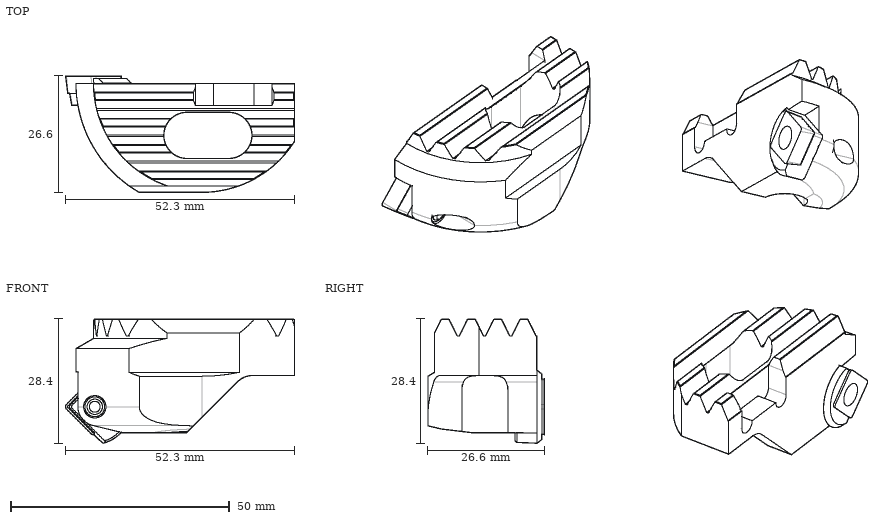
import cadquery as cq
import math


EPS = 0.01
FAR = 80.0

front_y = -24.93
upper_front_y = -23.42
nose_x = -21.26
nose_radius = 28.7
tail_center = (-21.2, 0.15)
tail_radius = tail_center[1] - front_y

rim_depth = 0.12
rim_inset = 0.2
collar_radius = 24.7
collar_z = -4.4
cone_z = -6.73
shoulder_z = -12.14
shoulder_edge_z = -13.05
foot_z = -12.88
bottom_z = -26.0
ramp_x = -24.7
ramp_blend = 5.0
nose_blend = 4.4
underside_angle = 14.0

facet_y = -14.6
facet_slope = 0.12

pitch = 6.0
first_root_y = 0.04
serration_depth = 3.82
crest_width = 1.9
root_width = 0.45
crest_break = 0.18
crest_break_depth = 0.12
tooth_count = 4

slot_center = (-19.8, -11.88)
slot_length = 20.1
slot_width = 10.5
pocket_center_x = -13.9
pocket_length = 17.5
pocket_depth_y = 5.0
pocket_floor_z = -8.6
trough_width = 4.1
pocket_flare = 0.45
pocket_flare_depth = 2.4

insert_side = 9.525
insert_thickness = 3.97
insert_corner = 0.8
relief_angle = 7.0
insert_top_y = 1.69
insert_base_y = insert_top_y - insert_thickness
axis_x = -45.94
axis_z = -20.02
relief = math.tan(math.radians(relief_angle))

seat_radius = 8.65
seat_top_y = 1.15
seat_base_y = -5.04
seat_chamfer = 1.1
seat_base_chamfer = 0.45
seat_flank = 4.05
seat_corner = 0.6
ceiling_z = -12.36
ceiling_rise = 0.3
clearance_reach = 2.6

screw_x = -45.65
seat_screw_diameter = 4.5
seat_screw_end_y = -9.64
seat_screw_head_diameter = 6.6
seat_screw_head_height = 1.2
screw_hole_diameter = 5.1
insert_screw_diameter = 3.5
insert_screw_tip_diameter = 2.5
insert_screw_tip_y = -10.4
insert_screw_cone = 0.6
insert_screw_head_diameter = 5.4
insert_screw_head_height = 2.0


def outline():
    """Plan outline of the holder on the XY plane."""
    nose_mid_bearing = 210
    tail_mid_bearing = -60
    nose_front = (nose_x - math.sqrt(nose_radius**2 - front_y**2), front_y)
    nose_mid_angle = math.radians(nose_mid_bearing)
    nose_mid = (nose_x + nose_radius * math.cos(nose_mid_angle), nose_radius * math.sin(nose_mid_angle))
    tail_end_y = tail_center[1] - math.sqrt(tail_radius**2 - tail_center[0]**2)
    tail_mid_angle = math.radians(tail_mid_bearing)
    tail_mid = (
        tail_center[0] + tail_radius * math.cos(tail_mid_angle),
        tail_center[1] + tail_radius * math.sin(tail_mid_angle),
    )
    return (
        cq.Workplane("XY")
        .moveTo(0, 0)
        .lineTo(nose_x - nose_radius, 0)
        .threePointArc(nose_mid, nose_front)
        .lineTo(tail_center[0], front_y)
        .threePointArc(tail_mid, (0, tail_end_y))
        .close()
    )


def nose_envelope():
    """Turned shape around the nose centre, joined to a plain box on the right."""
    slope = math.radians(underside_angle)
    turn = math.pi / 2 - slope
    blend_center = nose_radius - nose_blend
    blend_start_z = axis_z

    def blend_point(angle):
        return (blend_center + nose_blend * math.cos(angle), blend_start_z - nose_blend * math.sin(angle))

    blend_end = blend_point(turn)
    flat_radius = blend_end[0] - (blend_end[1] - bottom_z) / math.tan(slope)
    turned = (
        cq.Workplane("XZ")
        .moveTo(0, 0)
        .lineTo(collar_radius - rim_inset, 0)
        .lineTo(collar_radius, -rim_depth)
        .lineTo(collar_radius, collar_z)
        .lineTo(nose_radius, cone_z)
        .lineTo(nose_radius, blend_start_z)
        .threePointArc(blend_point(turn / 2), blend_end)
        .lineTo(flat_radius, bottom_z)
        .lineTo(0, bottom_z)
        .close()
        .revolve(360, (0, 0), (0, 1))
        .translate((nose_x, 0, 0))
    )
    right_box = cq.Workplane("XY").box(FAR, FAR, -bottom_z, centered=(False, True, False))
    return turned.union(right_box.translate((nose_x, 0, bottom_z)))


def side_profile():
    """Stepped side shape with the foot on the right and the 45 degree ramp."""
    ramp_top_x = ramp_x + foot_z - bottom_z
    return (
        cq.Workplane("XZ")
        .polyline([(-FAR, 0), (0, 0), (0, foot_z), (ramp_top_x, foot_z), (ramp_x, bottom_z), (-FAR, bottom_z)])
        .close()
        .extrude(FAR)
        .edges(cq.selectors.NearestToPointSelector((ramp_top_x, -FAR / 2, foot_z)))
        .fillet(ramp_blend)
    )


def along_x(points):
    """Prism over a YZ polygon that runs past both ends of the holder."""
    return cq.Workplane("YZ").polyline(points).close().extrude(2 * FAR).translate((-FAR, 0, 0))


def serration_valley(y):
    top = (pitch - crest_width) / 2
    half_widths = [
        (top + crest_break, EPS),
        (top + crest_break, 0),
        (top, -crest_break_depth),
        (root_width / 2, -serration_depth),
    ]
    right_side = [(y + w, z) for w, z in half_widths]
    left_side = [(y - w, z) for w, z in reversed(half_widths)]
    return along_x(right_side + left_side)


def front_shoulder():
    margin = 1.0
    return along_x([
        (upper_front_y, margin),
        (upper_front_y, shoulder_z),
        (front_y, shoulder_edge_z),
        (front_y - margin, shoulder_edge_z),
        (front_y - margin, margin),
    ])


def underside_facet():
    drop = facet_slope * (facet_y - front_y)
    return along_x([(facet_y, bottom_z), (front_y, bottom_z + drop), (front_y, bottom_z)])


def clamping_slot():
    return (
        cq.Workplane("XY", origin=(*slot_center, EPS))
        .slot2D(slot_length, slot_width)
        .extrude(-FAR)
    )


def spring_pocket():
    """Pocket in the first tooth: a flat floor between two round troughs."""
    half = pocket_length / 2
    flared = half + pocket_flare
    trough_radius = trough_width / 2
    floor_half = half - trough_width
    return (
        cq.Workplane("XZ", origin=(pocket_center_x, EPS, 0))
        .moveTo(-flared, 0)
        .lineTo(-half, -pocket_flare_depth)
        .lineTo(-half, pocket_floor_z)
        .threePointArc((-half + trough_radius, pocket_floor_z - trough_radius), (-floor_half, pocket_floor_z))
        .lineTo(floor_half, pocket_floor_z)
        .threePointArc((half - trough_radius, pocket_floor_z - trough_radius), (half, pocket_floor_z))
        .lineTo(half, -pocket_flare_depth)
        .lineTo(flared, 0)
        .close()
        .extrude(pocket_depth_y + EPS)
    )


def turned_along_y(x, points):
    """Solid of revolution about a Y axis through x and axis_z, from (radius, y) points."""
    return (
        cq.Workplane("XY")
        .polyline(points)
        .close()
        .revolve(360, (0, 0), (0, 1))
        .translate((x, 0, axis_z))
    )


def seat_clearance():
    """Space at the lower left back of the holder that leaves the seat flanks free."""
    left = -FAR - axis_x
    right = clearance_reach
    roof = ceiling_z - axis_z
    outer_roof = roof + ceiling_rise
    edge_x = nose_x - nose_radius - axis_x
    return (
        cq.Workplane("XZ", origin=(axis_x, EPS, axis_z))
        .polyline([(right, roof), (edge_x, outer_roof), (left, outer_roof), (left, -FAR), (right, -FAR)])
        .close()
        .extrude(EPS - seat_base_y)
    )


def seat_disc():
    return turned_along_y(axis_x, [
        (0, seat_top_y),
        (seat_radius - seat_chamfer, seat_top_y),
        (seat_radius, seat_top_y - seat_chamfer),
        (seat_radius, seat_base_y + seat_base_chamfer),
        (seat_radius - seat_base_chamfer, seat_base_y),
        (0, seat_base_y),
    ])


def seat_flanks():
    """Wedge with a rounded left corner whose two relieved flanks trim the disc."""
    height = seat_top_y - seat_base_y
    top_flank = seat_flank + relief * (seat_top_y - insert_base_y)
    size = 4 * seat_radius
    return (
        cq.Workplane("XZ")
        .center(size / 2 - top_flank, size / 2 - top_flank)
        .rect(size, size)
        .extrude(height, taper=relief_angle)
        .edges("<(1,0,1)")
        .fillet(seat_corner)
        .rotate((0, 0, 0), (0, 1, 0), 45)
        .translate((axis_x, seat_top_y, axis_z))
    )


def seat_blank():
    """Seat without the insert pocket and the screw hole."""
    return seat_disc().intersect(seat_flanks())


def seat_screw_blank():
    head_radius = seat_screw_head_diameter / 2
    radius = seat_screw_diameter / 2
    head_base_y = insert_base_y - seat_screw_head_height
    return turned_along_y(screw_x, [
        (0, insert_base_y),
        (head_radius, insert_base_y),
        (head_radius, head_base_y),
        (radius, head_base_y),
        (radius, seat_screw_end_y),
        (0, seat_screw_end_y),
    ])


def screw_hole():
    """Hole for the seat screw, widened by a short cone beyond the screw end."""
    radius = seat_screw_diameter / 2
    outer_radius = screw_hole_diameter / 2
    return turned_along_y(screw_x, [
        (0, seat_base_y + EPS),
        (radius, seat_base_y + EPS),
        (radius, seat_screw_end_y),
        (outer_radius, seat_screw_end_y - (outer_radius - radius)),
        (outer_radius, -FAR),
        (0, -FAR),
    ])


def make_insert_screw():
    radius = insert_screw_diameter / 2
    return turned_along_y(screw_x, [
        (0, insert_top_y),
        (insert_screw_head_diameter / 2, insert_top_y),
        (radius, insert_top_y - insert_screw_head_height),
        (radius, insert_screw_tip_y + insert_screw_cone),
        (insert_screw_tip_diameter / 2, insert_screw_tip_y),
        (0, insert_screw_tip_y),
    ])


def insert_blank():
    """Insert without its screw hole; all four flanks are relieved."""
    return (
        cq.Workplane("XZ")
        .sketch()
        .rect(insert_side, insert_side)
        .vertices()
        .fillet(insert_corner)
        .finalize()
        .extrude(insert_thickness, taper=relief_angle)
        .rotate((0, 0, 0), (0, 1, 0), 45)
        .translate((axis_x, insert_top_y, axis_z))
    )


def make_holder():
    body = outline().extrude(bottom_z + rim_depth).translate((0, 0, -rim_depth))
    rim = outline().extrude(rim_depth, taper=math.degrees(math.atan2(rim_inset, rim_depth)))
    body = body.union(rim.translate((0, 0, -rim_depth)))
    body = body.intersect(nose_envelope()).intersect(side_profile())
    for index in range(tooth_count):
        body = body.cut(serration_valley(first_root_y - index * pitch))
    front_flank = serration_valley(first_root_y - tooth_count * pitch)
    body = body.cut(front_flank).cut(front_shoulder()).cut(underside_facet())
    body = body.cut(clamping_slot()).cut(spring_pocket())
    return body.cut(seat_clearance()).cut(seat_blank()).cut(screw_hole())


def make_seat():
    return seat_blank().cut(insert_blank()).cut(seat_screw_blank())


insert_screw = make_insert_screw()
insert = insert_blank().cut(insert_screw)
seat_screw = seat_screw_blank().cut(insert_screw)
seat = make_seat()
holder = make_holder()

result = cq.Compound.makeCompound([
    holder.val(),
    seat.val(),
    insert.val(),
    seat_screw.val(),
    insert_screw.val(),
])